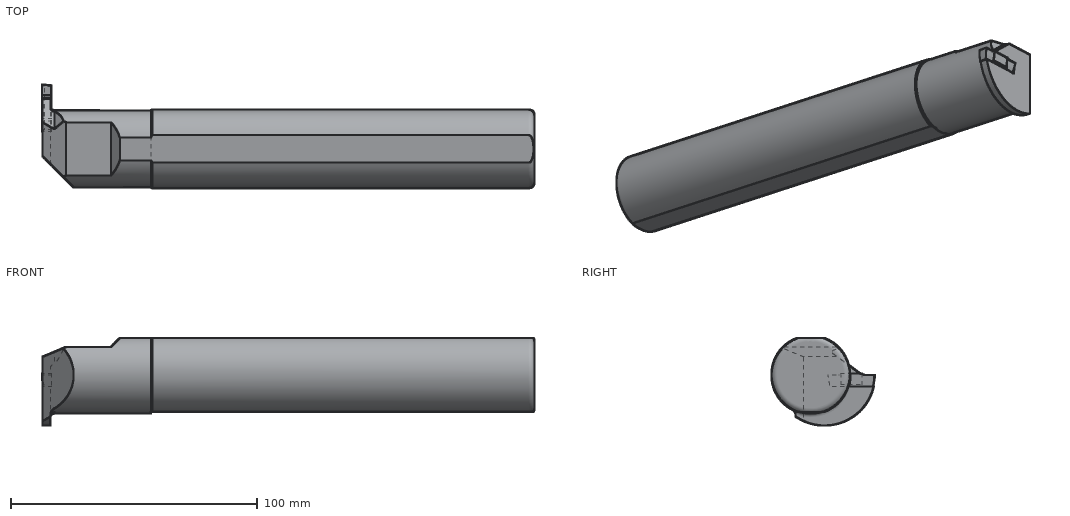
import cadquery as cq
import math


length = 200.0
shank_radius = 16.0
flat_height = 15.0
rear_rounding = 2.5
shank_start = 44.8
step_length = 0.6

neck_radius = 31.5 / 2
neck_start = shank_start - step_length
root_radius = 1.6

head_front = 0.2
blade_back = 3.5
blade_radius = 20.6
blade_offset = 5.6

side_relief_y = -3.0
land_height = 11.5
land_start = 9.8
land_end = 28.0
nose_height = 7.5
chip_slope_angle = 36.0
chip_slope_y = 20.5
chip_slope_z = 0.5
chip_slope_end = 5.0
chip_wall_angle = 40.0

insert_tip_y = 26.2
insert_length = 19.2
insert_height = 4.8
insert_thickness = 3.8
side_clearance = 0.5
end_relief = 0.8
land_rise = 0.5
rise_length = 1.0
tip_length = 4.5
edge_depth = 2.6
edge_relief = 0.5
base_relief = 1.0
middle_depth = 3.8
middle_relief = 0.2

clear = 60.0


def insert_outline():
    """Side outline of the insert, with a raised land between its two cutting tips."""
    heel_y = insert_tip_y - insert_length
    return [
        (insert_tip_y, 0),
        (insert_tip_y - tip_length, 0),
        (insert_tip_y - tip_length - rise_length, land_rise),
        (heel_y + tip_length + rise_length, land_rise),
        (heel_y + tip_length, 0),
        (heel_y, 0),
        (heel_y + end_relief, -insert_height),
        (insert_tip_y - end_relief, -insert_height),
    ]


def insert_prism():
    """The insert's side outline as a plain prism, which is also the shape of its seat."""
    return cq.Workplane("YZ").polyline(insert_outline()).close().extrude(insert_thickness)


def make_bar():
    """Shank and neck in one turning, flaring into the back of the blade."""
    flare_end = blade_back + root_radius
    flare_radius = neck_radius + root_radius
    arc_middle = root_radius * (1 - math.sqrt(0.5))
    bar = (
        cq.Workplane("XY")
        .moveTo(head_front, 0)
        .lineTo(head_front, neck_radius)
        .lineTo(blade_back, neck_radius)
        .lineTo(blade_back, flare_radius)
        .threePointArc((blade_back + arc_middle, neck_radius + arc_middle), (flare_end, neck_radius))
        .lineTo(neck_start, neck_radius)
        .lineTo(shank_start, shank_radius)
        .lineTo(length, shank_radius)
        .lineTo(length, 0)
        .close()
        .revolve(360, (0, 0, 0), (1, 0, 0))
    )
    return bar.faces(">X").edges().fillet(rear_rounding)


def flat_cuts():
    """Clamping flats: the upper one runs along the neck too, the lower one only along the shank."""
    slab = cq.Workplane("XY").box(length, clear, shank_radius, centered=(False, True, False))
    upper = slab.translate((0, 0, flat_height))
    lower = slab.translate((neck_start, 0, -flat_height - shank_radius))
    return upper.union(lower)


def make_blade():
    """Round blade, set off the shank axis towards the insert."""
    return (
        cq.Workplane("YZ")
        .workplane(offset=head_front)
        .center(blade_offset, 0)
        .circle(blade_radius)
        .extrude(blade_back - head_front)
    )


def top_relief_cut():
    """Space above the sloping nose, the level land and the 45 degree run-out behind it."""
    nose_slope = (land_height - nose_height) / (land_start - head_front)
    return (
        cq.Workplane("XZ")
        .polyline(
            [
                (0, nose_height - nose_slope * head_front),
                (land_start, land_height),
                (land_end, land_height),
                (land_end + clear, land_height + clear),
                (0, land_height + clear),
            ]
        )
        .close()
        .extrude(clear, both=True)
    )


def side_relief_cut():
    """45 degree face across the -Y corner of the head."""
    return (
        cq.Workplane("XY")
        .polyline(
            [
                (head_front - clear, side_relief_y + clear),
                (head_front + clear, side_relief_y - clear),
                (head_front - clear, side_relief_y - clear),
            ]
        )
        .close()
        .extrude(clear, both=True)
    )


def chip_slope_cut():
    """Slope that falls towards the cutting tip and ends in a leaning wall."""
    wall_run = clear / math.tan(math.radians(chip_wall_angle))
    return (
        cq.Workplane("XZ")
        .polyline([(-clear, 0), (chip_slope_end, 0), (chip_slope_end + wall_run, clear), (-clear, clear)])
        .close()
        .extrude(clear, both=True)
        .rotate((0, 0, 0), (1, 0, 0), -chip_slope_angle)
        .translate((0, chip_slope_y, chip_slope_z))
    )


def tip_clearance_cut():
    """Space over the cutting tip, level with its rake and clear of the jaw."""
    jaw_y = insert_tip_y - tip_length - rise_length
    return (
        cq.Workplane("XY")
        .box(2 * chip_slope_end, clear, clear, centered=(True, False, False))
        .translate((0, jaw_y, 0))
    )


def tip_front_cut():
    """Space beyond the insert's relieved end, so that the blade stays behind the cutting edge."""
    return (
        cq.Workplane("YZ")
        .polyline(
            [
                (insert_tip_y, 0),
                (insert_tip_y - end_relief, -insert_height),
                (insert_tip_y + clear, -insert_height),
                (insert_tip_y + clear, 0),
            ]
        )
        .close()
        .extrude(blade_back)
    )


def make_holder():
    """Shank, neck and blade as one body, with the insert's seat open to the front."""
    holder = make_bar().cut(flat_cuts()).union(make_blade())
    for cut in (top_relief_cut(), side_relief_cut(), chip_slope_cut(), tip_clearance_cut(), tip_front_cut()):
        holder = holder.cut(cut)
    return holder.cut(insert_prism())


def end_clearance_cut():
    """Wedge off the cutting tip's end, so that only the front corner reaches the full length."""
    return (
        cq.Workplane("XY")
        .polyline(
            [
                (0, insert_tip_y),
                (insert_thickness, insert_tip_y - side_clearance),
                (insert_thickness, insert_tip_y),
            ]
        )
        .close()
        .extrude(clear, both=True)
    )


def make_insert():
    """Insert whose front falls back below the cutting edge, with a fuller middle part."""
    relieved = (
        cq.Workplane("XZ")
        .polyline(
            [
                (0, land_rise),
                (0, 0),
                (edge_relief, -edge_depth),
                (base_relief, -insert_height),
                (insert_thickness, -insert_height),
                (insert_thickness, land_rise),
            ]
        )
        .close()
        .extrude(clear, both=True)
    )
    middle_length = insert_length - 2 * (tip_length + rise_length)
    middle = (
        cq.Workplane("XZ")
        .polyline(
            [
                (0, land_rise),
                (middle_relief, -middle_depth),
                (insert_thickness, -middle_depth),
                (insert_thickness, land_rise),
            ]
        )
        .close()
        .extrude(middle_length / 2, both=True)
        .translate((0, insert_tip_y - insert_length / 2, 0))
    )
    return insert_prism().intersect(relieved.union(middle)).cut(end_clearance_cut())


holder = make_holder()
insert = make_insert()
result = cq.Compound.makeCompound([holder.solids().val(), insert.solids().val()])